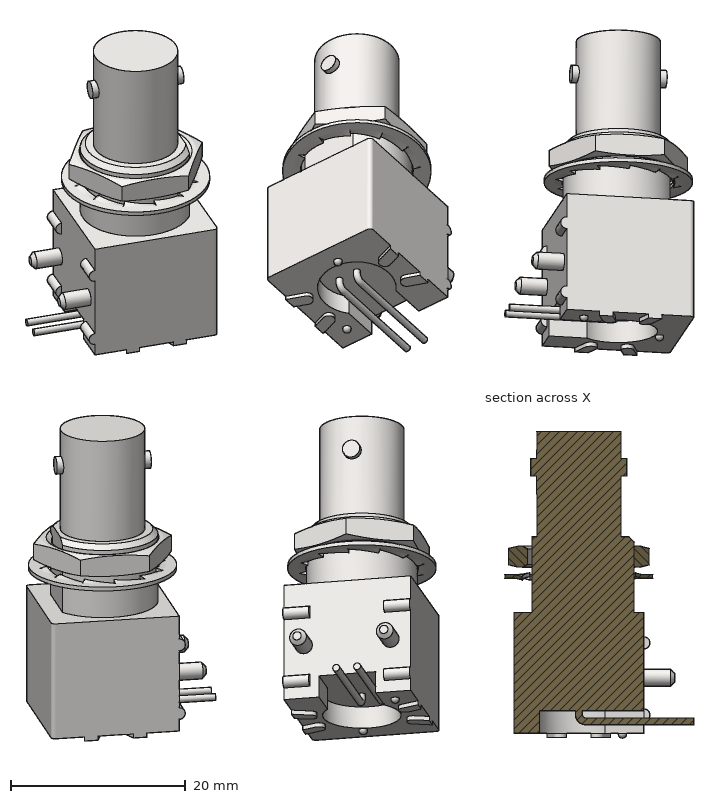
import cadquery as cq
import math


BLOCK_SIDE = 14.9
BLOCK_HEIGHT = 13.85
BLOCK_CORNER_RADIUS = 0.5
BLOCK_FACE_Y = -BLOCK_SIDE / 2

NECK_DIAMETER = 12.72
NECK_TOP = 22.53
NECK_CHAMFER = 0.6
NECK_FLAT_Y = 5.38
BARREL_RADIUS = 4.85
BARREL_TOP = 34.6
LUG_RADIUS = 1.02
LUG_REACH = 5.52
LUG_HEIGHT = 30.48

RIB_RADIUS = 0.7
RIB_LENGTH = 3.05
RIB_LOW_Z = 2.1
RIB_SPACING = 8.25
PEG_RADIUS = 1.0
PEG_LENGTH = 3.55
PEG_CHAMFER = 0.5
PEG_X = 5.1
PEG_Z = 6.35

SOCKET_RADIUS = 4.5
SOCKET_DEPTH = 2.55
SOCKET_SLOT_WIDTH = 6.68
FOOT_RADIUS = 0.75
FOOT_HEIGHT = 0.5
FOOT_ANGLE = 21.0
FOOT_END_DISTANCE = 5.95
NUB_RADIUS = 0.5
NUB_HEIGHT = 0.55
NUB_POSITIONS = [(-1.0, 5.0), (5.05, -5.0)]

PIN_DIAMETER = 0.8
PIN_Z = 1.37
PIN_BEND_RADIUS = 0.8
PIN_END_Y = -13.18
PIN_X_POSITIONS = [0.0, 2.45]

NUT_ACROSS_FLATS = 14.0
NUT_BOTTOM = 19.0
NUT_THICKNESS = 2.45
NUT_CHAMFER_ANGLE = 15.0
NUT_BORE_RADIUS = 5.87
NUT_BORE_CHAMFER_WIDTH = 0.6
NUT_BORE_CHAMFER_DEPTH = 0.35

WASHER_RADIUS = 8.5
WASHER_BOTTOM = 17.75
WASHER_THICKNESS = 0.45
TOOTH_COUNT = 12
TOOTH_ROOT_RADIUS = 7.3
TOOTH_TIP_RADIUS = 6.47
TOOTH_LIFT = 0.2


def make_block():
    block = cq.Workplane("XY").box(BLOCK_SIDE, BLOCK_SIDE, BLOCK_HEIGHT, centered=(True, True, False))
    return block.edges("|Z and >Y").fillet(BLOCK_CORNER_RADIUS)


def cut_socket(block):
    """Round socket in the underside, open to the mounting face through a straight slot."""
    bore = cq.Workplane("XY").circle(SOCKET_RADIUS).extrude(SOCKET_DEPTH)
    slot = (
        cq.Workplane("XY")
        .center(0, BLOCK_FACE_Y / 2)
        .rect(SOCKET_SLOT_WIDTH, -BLOCK_FACE_Y)
        .extrude(SOCKET_DEPTH)
    )
    return block.cut(bore.union(slot))


def make_neck():
    """Threaded neck with a chamfered rim and a flat on its +Y side."""
    neck = (
        cq.Workplane("XY", origin=(0, 0, BLOCK_HEIGHT))
        .circle(NECK_DIAMETER / 2)
        .extrude(NECK_TOP - BLOCK_HEIGHT)
        .faces(">Z")
        .chamfer(NECK_CHAMFER)
    )
    beyond_flat = cq.Workplane("XY").box(
        NECK_DIAMETER, NECK_DIAMETER, NECK_TOP, centered=(True, False, False)
    )
    return neck.cut(beyond_flat.translate((0, NECK_FLAT_Y, 0)))


def make_barrel():
    """Plain barrel with a bayonet lug on each side."""
    barrel = cq.Workplane("XY", origin=(0, 0, NECK_TOP)).circle(BARREL_RADIUS).extrude(BARREL_TOP - NECK_TOP)
    lugs = cq.Workplane("XZ", origin=(0, 0, LUG_HEIGHT)).circle(LUG_RADIUS).extrude(LUG_REACH, both=True)
    return barrel.union(lugs)


def make_ribs():
    """Four half-round standoff ribs, two at each side of the mounting face."""
    rib_x = (BLOCK_SIDE - RIB_LENGTH) / 2
    ribs = cq.Workplane("XY")
    for x in (-rib_x, rib_x):
        for z in (RIB_LOW_Z, RIB_LOW_Z + RIB_SPACING):
            rib = cq.Workplane("YZ").circle(RIB_RADIUS).extrude(RIB_LENGTH / 2, both=True)
            ribs = ribs.add(rib.translate((x, BLOCK_FACE_Y, z)))
    return ribs.combine()


def make_pegs():
    """Two locating pegs with chamfered tips."""
    return (
        cq.Workplane("XZ", origin=(0, BLOCK_FACE_Y, PEG_Z))
        .pushPoints([(-PEG_X, 0), (PEG_X, 0)])
        .circle(PEG_RADIUS)
        .extrude(PEG_LENGTH)
        .faces("<Y")
        .chamfer(PEG_CHAMFER)
    )


def make_feet():
    """Four radial feet with round inner ends, trimmed flush with the block sides."""
    feet = cq.Workplane("XY")
    for angle in (FOOT_ANGLE, 180 - FOOT_ANGLE, 180 + FOOT_ANGLE, -FOOT_ANGLE):
        bar = (
            cq.Workplane("XY", origin=(0, 0, -FOOT_HEIGHT))
            .moveTo(BLOCK_SIDE, FOOT_RADIUS)
            .lineTo(FOOT_END_DISTANCE, FOOT_RADIUS)
            .threePointArc((FOOT_END_DISTANCE - FOOT_RADIUS, 0), (FOOT_END_DISTANCE, -FOOT_RADIUS))
            .lineTo(BLOCK_SIDE, -FOOT_RADIUS)
            .close()
            .extrude(FOOT_HEIGHT)
        )
        feet = feet.add(bar.rotate((0, 0, 0), (0, 0, 1), angle))
    outline = cq.Workplane("XY").rect(BLOCK_SIDE, BLOCK_SIDE).extrude(-FOOT_HEIGHT)
    return outline.intersect(feet.combine())


def make_nubs():
    """Two small round-ended nubs below the block."""
    sphere_z = NUB_RADIUS - NUB_HEIGHT
    nubs = cq.Workplane("XY").pushPoints(NUB_POSITIONS).circle(NUB_RADIUS).extrude(sphere_z)
    for x, y in NUB_POSITIONS:
        nubs = nubs.union(cq.Workplane("XY").sphere(NUB_RADIUS).translate((x, y, sphere_z)))
    return nubs


def make_pin(x):
    """Contact pin that drops from the socket ceiling and bends toward -Y."""
    bend_mid = PIN_BEND_RADIUS * (1 - math.sqrt(0.5))
    path = (
        cq.Workplane("YZ", origin=(x, 0, 0))
        .moveTo(0, SOCKET_DEPTH)
        .lineTo(0, PIN_Z + PIN_BEND_RADIUS)
        .threePointArc((-bend_mid, PIN_Z + bend_mid), (-PIN_BEND_RADIUS, PIN_Z))
        .lineTo(PIN_END_Y, PIN_Z)
    )
    return cq.Workplane("XY", origin=(x, 0, SOCKET_DEPTH)).circle(PIN_DIAMETER / 2).sweep(path)


def make_housing():
    housing = cut_socket(make_block())
    for feature in (make_neck(), make_barrel(), make_ribs(), make_pegs(), make_feet(), make_nubs()):
        housing = housing.union(feature)
    for x in PIN_X_POSITIONS:
        housing = housing.union(make_pin(x))
    return housing


def make_nut(housing):
    """Hex nut with chamfered corners; the neck's thread bites into its bore."""
    corner_radius = NUT_ACROSS_FLATS / math.sqrt(3)
    flat_radius = NUT_ACROSS_FLATS / 2
    corner_drop = (corner_radius - flat_radius) * math.tan(math.radians(NUT_CHAMFER_ANGLE))
    rim_radius = NUT_BORE_RADIUS + NUT_BORE_CHAMFER_WIDTH
    hexagon = (
        cq.Workplane("XY")
        .polygon(6, 2 * corner_radius)
        .extrude(NUT_THICKNESS)
        .rotate((0, 0, 0), (0, 0, 1), 90)
    )
    turned_profile = [
        (NUT_BORE_RADIUS, NUT_BORE_CHAMFER_DEPTH),
        (rim_radius, 0),
        (flat_radius, 0),
        (corner_radius, corner_drop),
        (corner_radius, NUT_THICKNESS - corner_drop),
        (flat_radius, NUT_THICKNESS),
        (rim_radius, NUT_THICKNESS),
        (NUT_BORE_RADIUS, NUT_THICKNESS - NUT_BORE_CHAMFER_DEPTH),
    ]
    turned = cq.Workplane("XZ").polyline(turned_profile).close().revolve(360, (0, 0, 0), (0, 1, 0))
    return hexagon.intersect(turned).translate((0, 0, NUT_BOTTOM)).cut(housing)


def make_tooth():
    """Twisted tooth, level at its root; its tip falls from raised to lowered along the pitch."""
    steps = 6
    root_overlap = 0.35
    sections = []
    for step in range(steps + 1):
        angle = math.radians(360 / TOOTH_COUNT * step / steps)
        lift = TOOTH_LIFT * (1 - 2 * step / steps)
        profile = [
            (TOOTH_TIP_RADIUS, lift),
            (TOOTH_ROOT_RADIUS, 0),
            (TOOTH_ROOT_RADIUS + root_overlap, 0),
            (TOOTH_ROOT_RADIUS + root_overlap, WASHER_THICKNESS),
            (TOOTH_ROOT_RADIUS, WASHER_THICKNESS),
            (TOOTH_TIP_RADIUS, WASHER_THICKNESS + lift),
        ]
        points = [cq.Vector(r * math.cos(angle), r * math.sin(angle), z) for r, z in profile]
        sections.append(cq.Wire.makePolygon(points, close=True))
    return cq.Workplane(cq.Solid.makeLoft(sections))


def make_washer():
    """Flat ring with a full circle of twisted internal teeth."""
    washer = cq.Workplane("XY").circle(WASHER_RADIUS).circle(TOOTH_ROOT_RADIUS).extrude(WASHER_THICKNESS)
    tooth = make_tooth()
    for index in range(TOOTH_COUNT):
        washer = washer.union(tooth.rotate((0, 0, 0), (0, 0, 1), 360 / TOOTH_COUNT * index))
    return washer.translate((0, 0, WASHER_BOTTOM))


housing = make_housing()
nut = make_nut(housing)
washer = make_washer()

result = cq.Compound.makeCompound([body.solids().val() for body in (housing, nut, washer)])